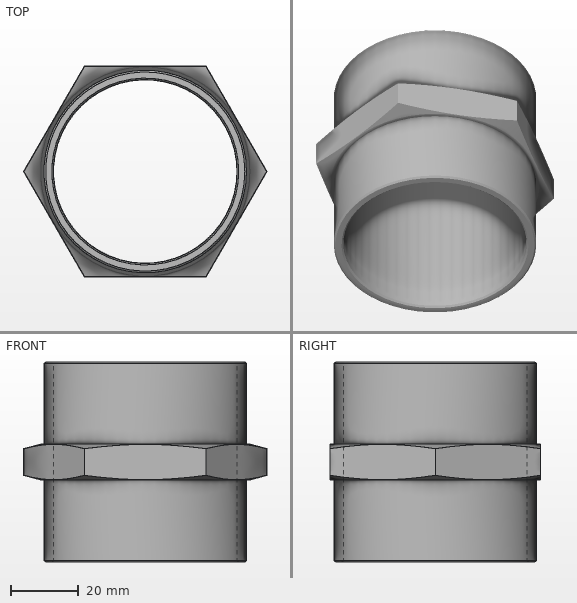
import cadquery as cq
import math

TOTAL_LENGTH = 58.9
BARREL_DIAMETER = 59.6
BORE_DIAMETER = 54.0
END_CHAMFER = 0.5
HEX_ACROSS_FLATS = 62.0
HEX_HEIGHT = 10.5
HEX_CHAMFER_ANGLE = 15.0
HEX_FACE_DIAMETER = 61.6

HEX_ACROSS_CORNERS = HEX_ACROSS_FLATS / math.cos(math.radians(30))


def make_barrel():
    """Solid cylinder along Z, centred on the origin, chamfered at both rims."""
    bottom_plane = cq.Workplane("XY", origin=(0, 0, -TOTAL_LENGTH / 2))
    barrel = bottom_plane.circle(BARREL_DIAMETER / 2).extrude(TOTAL_LENGTH)
    return barrel.faces("|Z").edges().chamfer(END_CHAMFER)


def make_hex_collar():
    """Wrench hexagon with corners on the X axis and conically chamfered corners."""
    half_height = HEX_HEIGHT / 2
    lower_plane = cq.Workplane("XY", origin=(0, 0, -half_height))
    hexagon = lower_plane.polygon(6, HEX_ACROSS_CORNERS).extrude(HEX_HEIGHT)

    face_radius = HEX_FACE_DIAMETER / 2
    corner_radius = HEX_ACROSS_CORNERS / 2
    chamfer_drop = (corner_radius - face_radius) * math.tan(math.radians(HEX_CHAMFER_ANGLE))
    corner_half_height = half_height - chamfer_drop
    chamfer_envelope = (
        cq.Workplane("XZ")
        .moveTo(0, -half_height)
        .lineTo(face_radius, -half_height)
        .lineTo(corner_radius, -corner_half_height)
        .lineTo(corner_radius, corner_half_height)
        .lineTo(face_radius, half_height)
        .lineTo(0, half_height)
        .close()
        .revolve(360, (0, 0, 0), (0, 1, 0))
    )
    return hexagon.intersect(chamfer_envelope)


def make_bore():
    """Through bore along Z with its rims chamfered at both ends."""
    half_length = TOTAL_LENGTH / 2
    bore_radius = BORE_DIAMETER / 2
    rim_radius = bore_radius + END_CHAMFER
    return (
        cq.Workplane("XZ")
        .moveTo(0, -half_length)
        .lineTo(rim_radius, -half_length)
        .lineTo(bore_radius, -half_length + END_CHAMFER)
        .lineTo(bore_radius, half_length - END_CHAMFER)
        .lineTo(rim_radius, half_length)
        .lineTo(0, half_length)
        .close()
        .revolve(360, (0, 0, 0), (0, 1, 0))
    )


result = make_barrel().union(make_hex_collar()).cut(make_bore())